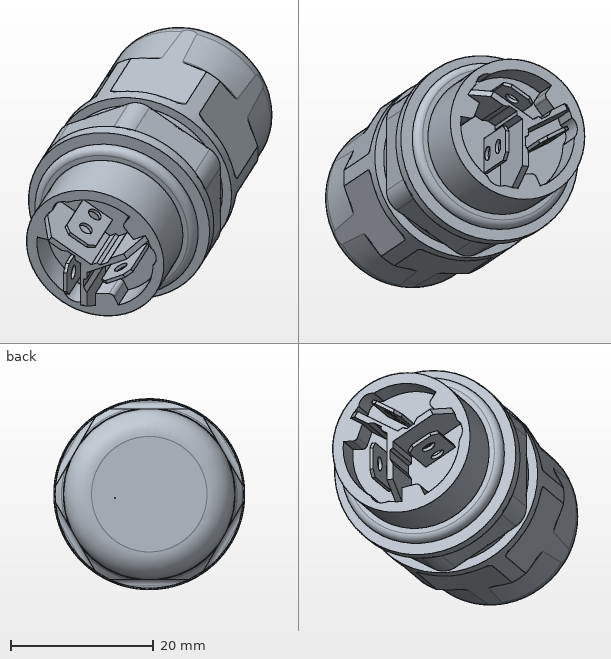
import cadquery as cq
import math


y_cap_end = 24.8
y_dome_start = 20.9
y_shoulder_top = 13.4
y_shoulder_blend = 12.7
y_shoulder_bottom = 11.75
y_grip_bottom = 1.85
y_cap_bottom = 0.05
y_hex_top = -1.4
y_collar_top = -8.45
y_collar_bottom = -10.25
y_ring_bottom = -12.4
y_mouth = -20.9
y_tip = y_cap_end - 49.6
y_floor = -16.55

cap_radius = 26.5 / 2
cap_neck_radius_bottom = 12.1
cap_neck_radius_top = 12.05
shoulder_blend_radius = 12.35
dome_radius = y_cap_end - y_dome_start
grip_flat_distance = 12.0
grip_flat_fillet = 0.95
grip_flat_count = 6

neck_radius = 23.8 / 2
collar_radius = 26.9 / 2
hex_side_count = 6
hex_flat_distance = 12.05
hex_corner_radius = 3.1
ring_radius = 12.05
barrel_radius = 20.4 / 2

bore_radius = 8.65
wall_plain_face_x = -0.85
wall_grooved_face_x = 0.075
wall_hub_z = 0.5
wall_tip_radius = 6.45
groove_floor_x = -0.4
groove_inner_z = -1.9
groove_floor_inner_z = -2.2
groove_floor_outer_z = -3.4
groove_outer_z = -4.2
lobe_x = -2.75
lobe_z = -6.6
lobe_radius = 2.0
key_wall_corner = (0, -6.65)
key_free_corner = (2.65, -6.2)
key_buried_corner = (3.75, -8.6)
key_corner_radius = 0.75

blade_x = -3.1
blade_z = -3.1
blade_width = 5.05
blade_thickness = 0.5
blade_chamfer = 1.0
blade_hole_diameter = 2.0
blade_hole_stations = (-21.85, -17.95)

sector_count = 3
embed = 0.5


def prism(sketch, y_start, y_end):
    """Extrude an XZ-plane outline from y_start towards -Y down to y_end."""
    return sketch.extrude(y_start - y_end).translate((0, y_start, 0))


def around_axis(shape, count):
    """Repeat a shape evenly around the Y axis and fuse the copies."""
    copies = shape
    for index in range(1, count):
        angle = index * 360.0 / count
        copies = copies.union(shape.rotate((0, 0, 0), (0, 1, 0), angle))
    return copies


def make_turned_body():
    """Cap, neck, collar, sealing ring and barrel as one revolved profile."""
    ring_round = (y_collar_bottom - y_ring_bottom) / 2
    ring_center_y = (y_collar_bottom + y_ring_bottom) / 2
    dome_center_x = cap_neck_radius_top - dome_radius
    dome_mid = dome_radius * math.sqrt(0.5)
    profile = (
        cq.Workplane("XY")
        .moveTo(0, y_mouth)
        .lineTo(barrel_radius, y_mouth)
        .lineTo(barrel_radius, y_ring_bottom)
        .lineTo(ring_radius - ring_round, y_ring_bottom)
        .threePointArc((ring_radius, ring_center_y), (ring_radius - ring_round, y_collar_bottom))
        .lineTo(collar_radius, y_collar_bottom)
        .lineTo(collar_radius, y_collar_top)
        .lineTo(neck_radius, y_collar_top)
        .lineTo(neck_radius, y_cap_bottom)
        .lineTo(cap_radius, y_cap_bottom)
        .lineTo(cap_radius, y_shoulder_bottom)
        .lineTo(shoulder_blend_radius, y_shoulder_blend)
        .tangentArcPoint((cap_neck_radius_bottom, y_shoulder_top), relative=False)
        .lineTo(cap_neck_radius_top, y_dome_start)
        .threePointArc((dome_center_x + dome_mid, y_dome_start + dome_mid), (dome_center_x, y_cap_end))
        .lineTo(0, y_cap_end)
        .close()
    )
    return profile.revolve(360, (0, 0, 0), (0, 1, 0))


def make_grip_cutter():
    """Material removed to leave the wrench flats on the cap."""
    length = y_cap_end + embed - y_grip_bottom
    depth = cap_radius - grip_flat_distance + embed
    cutter = (
        cq.Workplane("XY")
        .box(2 * cap_radius, length, depth, centered=(True, False, False))
        .translate((0, y_grip_bottom, grip_flat_distance))
        .edges("<Y and <Z")
        .fillet(grip_flat_fillet)
    )
    return around_axis(cutter, grip_flat_count)


def make_hex():
    """Rounded hexagon above the collar, with flats facing -X and +X."""
    corner_distance = hex_flat_distance / math.cos(math.pi / hex_side_count)
    half_side_angle = 180.0 / hex_side_count
    plane = cq.Workplane("XZ").transformed(rotate=(0, 0, half_side_angle))
    outline = plane.polygon(hex_side_count, 2 * corner_distance)
    return prism(outline, y_hex_top, y_collar_top).edges("|Y").fillet(hex_corner_radius)


def make_cavity():
    """Round bore with a lobe beside each wall and a key on its other side."""
    bore = prism(cq.Workplane("XZ").circle(bore_radius), y_floor, y_mouth)
    lobe = prism(cq.Workplane("XZ").center(lobe_x, lobe_z).circle(lobe_radius), y_floor, y_mouth)
    key_outline = (
        cq.Workplane("XZ")
        .polyline([key_wall_corner, key_free_corner, key_buried_corner, (0, -bore_radius - embed)])
        .close()
    )
    key = prism(key_outline, y_floor, y_mouth)
    key = key.edges("|Y and >Z").fillet(key_corner_radius)
    return bore.union(around_axis(lobe, sector_count)).cut(around_axis(key, sector_count))


def make_wall():
    """Dividing wall that stands out of the mouth with a sloping outer end."""
    wall = (
        cq.Workplane("YZ")
        .polyline([
            (y_floor + embed, wall_hub_z),
            (y_tip, wall_hub_z),
            (y_tip, -wall_tip_radius),
            (y_mouth, -bore_radius),
            (y_mouth, -bore_radius - embed),
            (y_floor + embed, -bore_radius - embed),
        ])
        .close()
        .extrude(wall_grooved_face_x - wall_plain_face_x)
        .translate((wall_plain_face_x, 0, 0))
    )
    groove_outline = (
        cq.Workplane("XZ")
        .polyline([
            (wall_grooved_face_x, groove_inner_z),
            (groove_floor_x, groove_floor_inner_z),
            (groove_floor_x, groove_floor_outer_z),
            (wall_grooved_face_x, groove_outer_z),
        ])
        .close()
    )
    return wall.cut(prism(groove_outline, y_floor, y_tip))


def make_blade():
    """Flat terminal with two chamfered tip corners and two cross holes."""
    blade = (
        cq.Workplane("XY")
        .box(blade_thickness, y_floor + embed - y_tip, blade_width, centered=(True, False, True))
        .translate((blade_x, y_tip, blade_z))
        .edges("|X and <Y")
        .chamfer(blade_chamfer)
    )
    holes = (
        cq.Workplane("YZ", origin=(blade_x, 0, 0))
        .pushPoints([(y, blade_z) for y in blade_hole_stations])
        .circle(blade_hole_diameter / 2)
        .extrude(blade_thickness, both=True)
    )
    return blade.cut(holes)


result = (
    make_turned_body()
    .cut(make_grip_cutter())
    .union(make_hex())
    .cut(make_cavity())
    .union(around_axis(make_wall(), sector_count))
    .union(around_axis(make_blade(), sector_count))
)